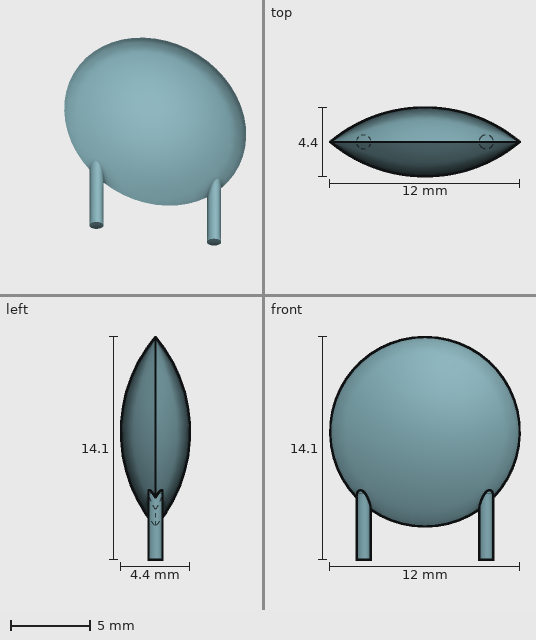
import cadquery as cq

disc_diameter = 12.0
disc_thickness = 4.4
disc_radius = disc_diameter / 2
half_thickness = disc_thickness / 2
cap_radius = (disc_radius**2 + half_thickness**2) / (2 * half_thickness)

lead_diameter = 0.9
lead_spacing = 7.75
lead_protrusion = 2.1
lead_bend_start = -3.9
lead_bend_radius = 1.0
lead_bend_angle = 90
lead_bottom = -disc_radius - lead_protrusion


def make_disc():
    """Lens-shaped body centred on the origin: the overlap of two equal spheres set apart along Y."""
    centre_offset = cap_radius - half_thickness
    back_sphere = cq.Workplane("XY").sphere(cap_radius).translate((0, centre_offset, 0))
    front_sphere = cq.Workplane("XY").sphere(cap_radius).translate((0, -centre_offset, 0))
    return back_sphere.intersect(front_sphere)


def make_lead(side):
    """Straight round lead with a bent top; side is -1 for -X and 1 for +X."""
    x = side * lead_spacing / 2
    straight = (
        cq.Workplane("XY", origin=(x, 0, lead_bottom))
        .circle(lead_diameter / 2)
        .extrude(lead_bend_start - lead_bottom)
    )
    bend = (
        cq.Workplane("XY", origin=(x, 0, lead_bend_start))
        .circle(lead_diameter / 2)
        .revolve(lead_bend_angle, (-side * lead_bend_radius, 0, 0), (-side * lead_bend_radius, -side, 0))
    )
    return straight.union(bend)


result = make_disc()
for side in (-1, 1):
    result = result.union(make_lead(side))